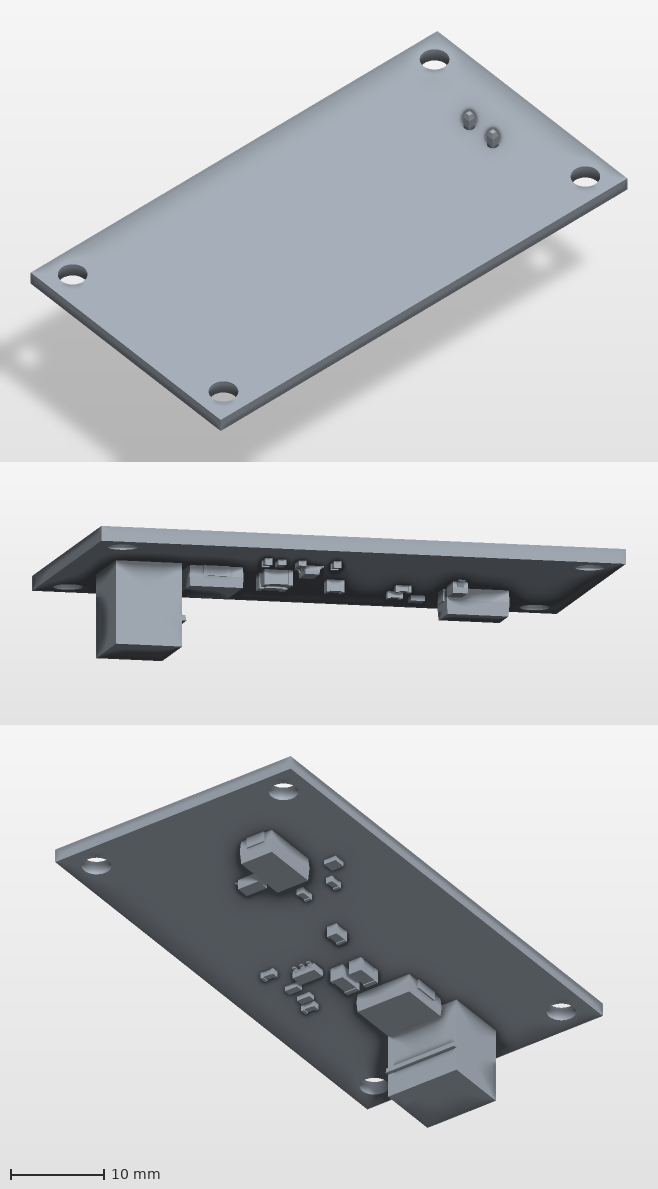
import cadquery as cq

board_width = 31.0
board_length = 58.0
board_thickness = 1.6
mount_hole_diameter = 3.2
mount_hole_inset = 3.2
overall_height = 12.6
embed = 0.05

header_width = 9.0
header_depth = 7.3
header_y = 21.0
pin_pitch = 3.8
pin_y = 21.7
pin_side = 0.85
pin_tip_side = 0.5
pin_tip_height = 0.65
pin_protrusion = 1.85
pin_hole_diameter = 1.3
header_height = overall_height - board_thickness - pin_protrusion
rib_top = -5.6
rib_bottom = -6.25
rib_top_reach = 0.35
rib_bottom_reach = 0.45

cap_step = 0.1
chips = [
    (-8.95, 1.45, 1.7, 0.8, 0.75, 0.35, False),
    (-8.95, 9.05, 1.7, 0.8, 0.75, 0.35, False),
    (1.8, -1.05, 2.0, 1.2, 1.35, 0.35, True),
    (3.1, -8.95, 1.7, 0.8, 0.75, 0.35, True),
    (6.9, -8.95, 1.7, 0.8, 0.75, 0.35, True),
    (-2.4, 6.3, 3.15, 1.55, 1.7, 0.5, True),
    (0.05, 6.3, 3.15, 1.55, 1.7, 0.5, True),
]

block_height = 0.6
blocks = [
    (9.05, -11.9, 1.5, 1.5),
    (-8.35, 7.4, 1.6, 0.85),
    (-8.35, 5.15, 1.6, 0.85),
]

mold_draft = 4.0

wide_diode_center = (-0.25, 13.35)
wide_diode_length = 6.95
wide_diode_width = 6.0
wide_diode_height = 2.25
wide_diode_parting = 1.1
wide_diode_lead_width = 2.95

tall_diode_center = (5.05, -17.2)
tall_diode_length = 6.95
tall_diode_width = 4.25
tall_diode_height = 2.85
tall_diode_parting = 1.3
tall_diode_lead_width = 2.25
large_lead_reach = 0.2

small_diode_center = (0.0, -14.2)
small_diode_length = 2.7
small_diode_width = 1.7
small_diode_height = 1.35
small_diode_parting = 0.7
small_diode_span = 4.05
small_diode_lead_width = 0.75

package_center = (-5.3, 3.5)
package_length = 2.9
package_width = 1.6
package_height = 1.0
package_parting = 0.6
package_span = 2.65
package_pitch = 0.9
package_lead_width = 0.4

lead_thickness = 0.2
standoff = 0.1


def hanging_box(x, y, size_x, size_y, top, bottom):
    """Box centred on (x, y) between two depths below the board."""
    return cq.Workplane("XY").box(size_x, size_y, bottom - top, centered=(True, True, False)).translate(
        (x, y, -bottom)
    )


def mounted_box(x, y, size_x, size_y, height):
    """Box hanging from the board."""
    return hanging_box(x, y, size_x, size_y, -embed, height)


def molded_body(center, size_x, size_y, top, parting, bottom):
    """Body widest at the parting depth, drafted towards the board and away from it."""
    plane = cq.Workplane("XY", origin=(*center, -parting))
    upper = plane.rect(size_x, size_y).extrude(parting - top, taper=mold_draft)
    lower = plane.rect(size_x, size_y).extrude(parting - bottom, taper=mold_draft)
    return upper.union(lower)


def chip(x, y, length, width, height, cap_length, along_y):
    body = mounted_box(0, 0, length - cap_length, width - cap_step, height - cap_step)
    cap_x = (length - cap_length) / 2
    for side in (-1, 1):
        body = body.union(mounted_box(side * cap_x, 0, cap_length, width, height))
    if along_y:
        body = body.rotate((0, 0, 0), (0, 0, 1), 90)
    return body.translate((x, y, 0))


def large_diode(length, width, height, parting, lead_width):
    """Diode along X at the origin; its leads are flat against the body ends."""
    body = molded_body((0, 0), length, width, -embed, parting, height)
    lead = mounted_box(0, 0, length + 2 * large_lead_reach, lead_width, parting)
    return body.union(lead)


def gull_wing(span, body_length, parting, width):
    """Strip along X that forms a pair of opposite bent leads, solid under the body."""
    foot = span / 2
    knee = (foot + body_length / 2) / 2
    shoulder = body_length / 2
    outline = [
        (-foot, embed), (foot, embed), (foot, -lead_thickness), (knee, -lead_thickness),
        (shoulder, -parting), (-shoulder, -parting), (-knee, -lead_thickness), (-foot, -lead_thickness),
    ]
    return cq.Workplane("XZ").polyline(outline).close().extrude(width / 2, both=True)


def board():
    hole_x = board_width - 2 * mount_hole_inset
    hole_y = board_length - 2 * mount_hole_inset
    plate = cq.Workplane("XY").box(board_width, board_length, board_thickness, centered=(True, True, False))
    plate = plate.faces(">Z").workplane().rect(hole_x, hole_y, forConstruction=True).vertices()
    plate = plate.hole(mount_hole_diameter)
    pin_holes = cq.Workplane("XY").pushPoints([(-pin_pitch / 2, pin_y), (pin_pitch / 2, pin_y)])
    return plate.cut(pin_holes.circle(pin_hole_diameter / 2).extrude(board_thickness))


def pin():
    """Square pin rising from the housing, with a tapered tip."""
    shank_top = board_thickness + pin_protrusion - pin_tip_height
    shank = cq.Workplane("XY", origin=(0, 0, -embed)).rect(pin_side, pin_side).extrude(shank_top + embed)
    tip = cq.Workplane("XY", origin=(0, 0, shank_top)).rect(pin_side, pin_side)
    tip = tip.workplane(offset=pin_tip_height).rect(pin_tip_side, pin_tip_side).loft(ruled=True)
    return shank.union(tip)


def header():
    housing = hanging_box(0, header_y, header_width, header_depth, 0, header_height)
    front = header_y - header_depth / 2
    rib_outline = [
        (front + embed, rib_top), (front - rib_top_reach, rib_top),
        (front - rib_bottom_reach, rib_bottom), (front + embed, rib_bottom),
    ]
    rib = cq.Workplane("YZ").polyline(rib_outline).close().extrude(header_width / 2, both=True)
    housing = housing.union(rib)
    for side in (-1, 1):
        housing = housing.union(pin().translate((side * pin_pitch / 2, pin_y, 0)))
    return housing


def wide_diode():
    body = large_diode(
        wide_diode_length, wide_diode_width, wide_diode_height, wide_diode_parting, wide_diode_lead_width
    )
    return body.translate((*wide_diode_center, 0))


def tall_diode():
    body = large_diode(
        tall_diode_length, tall_diode_width, tall_diode_height, tall_diode_parting, tall_diode_lead_width
    )
    return body.rotate((0, 0, 0), (0, 0, 1), 90).translate((*tall_diode_center, 0))


def small_diode():
    body = molded_body(
        (0, 0), small_diode_length, small_diode_width, standoff, small_diode_parting, small_diode_height
    )
    leads = gull_wing(small_diode_span, small_diode_length, small_diode_parting, small_diode_lead_width)
    return body.union(leads).translate((*small_diode_center, 0))


def transistor_package():
    body = molded_body((0, 0), package_length, package_width, standoff, package_parting, package_height)
    leads = gull_wing(package_span, package_width, package_parting, package_lead_width)
    leads = leads.rotate((0, 0, 0), (0, 0, 1), 90)
    for position in (-1, 0, 1):
        body = body.union(leads.translate((position * package_pitch, 0, 0)))
    return body.translate((*package_center, 0))


result = board()
for component in (header(), wide_diode(), tall_diode(), small_diode(), transistor_package()):
    result = result.union(component)
for chip_sizes in chips:
    result = result.union(chip(*chip_sizes))
for x, y, size_x, size_y in blocks:
    result = result.union(mounted_box(x, y, size_x, size_y, block_height))